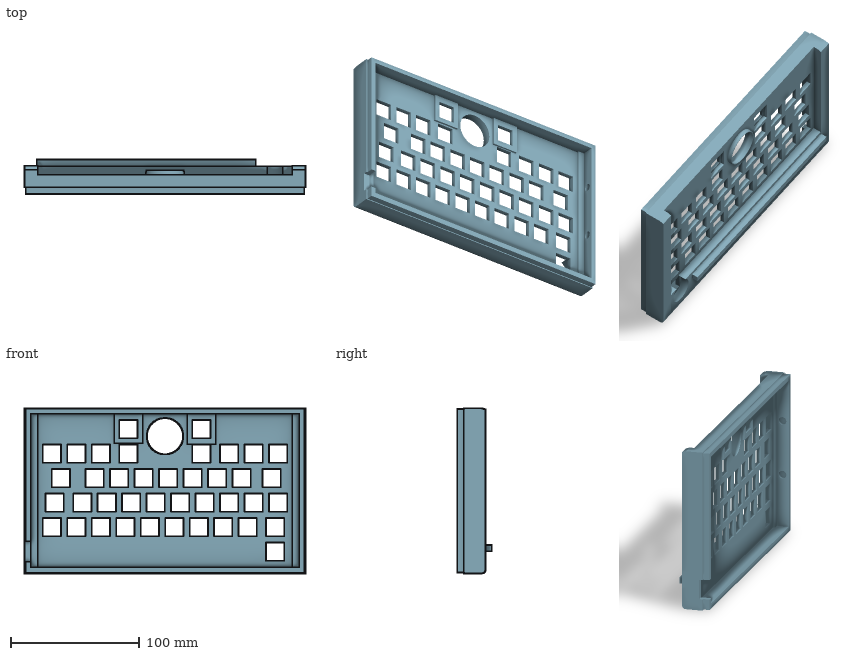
import cadquery as cq
import math

WIDTH = 219.2
HEIGHT = 129.0
DEPTH = 27.0
BODY_BACK = 22.1

LIP_DEPTH = 5.3
LIP_SIDE_INSET = 1.0
LIP_EDGE_INSET = 0.7

BOTTOM_FILLET = 3.0
TOP_BEVEL_DROP = 1.0
TOP_BEVEL_RUN = 3.3

SIDE_WALL = 5.0
WALL_TOP = 4.4
WALL_BOTTOM = 4.8
PLATE_FRONT = 11.5
PLATE_BACK = 15.1
STRIP_FRONT = 9.6
PLATE_LEFT = 10.3
PLATE_RIGHT = WIDTH - PLATE_LEFT

LEDGE_TOP = 25.2
LEDGE_BACK = 21.7

BAR_LEFT = 9.6
BAR_RIGHT = 180.5
BAR_BOTTOM = 17.3
BAR_TOP = 22.4

KEY = 14.0
PITCH = 19.0
BOTTOM_ROW_Z = 17.0
LEFT_KEY_X = 21.5
LEFT_TOP_KEY_X = 81.1
RIGHT_TOP_KEY_X = 137.9
ARROW_KEY_X = 195.3
KEY_ROWS = [
    [(ARROW_KEY_X, 1)],
    [(LEFT_KEY_X, 9), (ARROW_KEY_X, 1)],
    [(23.7, 1), (45.2, 9)],
    [(28.5, 1), (54.8, 7), (192.7, 1)],
    [(LEFT_KEY_X, 3), (LEFT_TOP_KEY_X, 1), (RIGHT_TOP_KEY_X, 1), (159.5, 3)],
    [(LEFT_TOP_KEY_X, 1), (RIGHT_TOP_KEY_X, 1)],
]
KEY_CLEARANCE_DIAMETER = 20.2

PAD_WIDTH = 22.1
PAD_POCKET = 17.3
PAD_POCKET_DEPTH = 3.0
LEFT_PAD_BOTTOM = 101.5
RIGHT_PAD_BOTTOM = 100.8

BALL_HOLE_DIAMETER = 28.0
BALL_COLLAR_DIAMETER = 30.0
BALL_COLLAR_BACK = 18.6
BALL_X = WIDTH / 2
BALL_Z = 107.0

NOTCH_DEPTH = 8.1
NOTCH_BOTTOM = 9.2
NOTCH_TOP = 25.0

SIDE_HOLE_DIAMETER = 6.1
SIDE_HOLE_DEPTH = 2.2
SIDE_HOLE_Y = 5.3
SIDE_HOLE_HEIGHTS = (47.0, 90.8)


def box(x0, x1, y0, y1, z0, z1):
    return cq.Workplane("XY").box(x1 - x0, y1 - y0, z1 - z0, centered=False).translate((x0, y0, z0))


def rod_along_y(x, z, diameter, y0, y1):
    return cq.Workplane("XZ", origin=(x, y0, z)).circle(diameter / 2).extrude(y0 - y1)


def make_shell():
    """Outer body with its front lip and shaped back edges."""
    body = (
        cq.Workplane("YZ")
        .moveTo(LIP_DEPTH, 0)
        .lineTo(BODY_BACK - BOTTOM_FILLET, 0)
        .radiusArc((BODY_BACK, BOTTOM_FILLET), -BOTTOM_FILLET)
        .lineTo(BODY_BACK, HEIGHT - TOP_BEVEL_DROP)
        .lineTo(BODY_BACK - TOP_BEVEL_RUN, HEIGHT)
        .lineTo(LIP_DEPTH, HEIGHT)
        .close()
        .extrude(WIDTH)
    )
    lip = box(
        LIP_SIDE_INSET, WIDTH - LIP_SIDE_INSET,
        0, LIP_DEPTH,
        LIP_EDGE_INSET, HEIGHT - LIP_EDGE_INSET,
    )
    return body.union(lip)


def cut_cavities(shell):
    """Open the front down to the plate and the back above the ledge."""
    cavity_z = (WALL_BOTTOM, HEIGHT - WALL_TOP)
    front = box(SIDE_WALL, WIDTH - SIDE_WALL, 0, STRIP_FRONT, *cavity_z)
    plate_recess = box(PLATE_LEFT, PLATE_RIGHT, 0, PLATE_FRONT, *cavity_z)
    rear = box(PLATE_LEFT, PLATE_RIGHT, PLATE_BACK, BODY_BACK, LEDGE_TOP, HEIGHT)
    ledge_trim = box(PLATE_LEFT, PLATE_RIGHT, LEDGE_BACK, BODY_BACK, 0, HEIGHT)
    return shell.cut(front).cut(plate_recess).cut(rear).cut(ledge_trim)


def make_pad(x, bottom):
    return box(
        x - PAD_WIDTH / 2, x + PAD_WIDTH / 2,
        STRIP_FRONT, PLATE_FRONT,
        bottom, HEIGHT - WALL_TOP,
    )


def make_pad_pocket(x):
    z = BOTTOM_ROW_Z + (len(KEY_ROWS) - 1) * PITCH
    half = PAD_POCKET / 2
    return box(x - half, x + half, PLATE_BACK - PAD_POCKET_DEPTH, PLATE_BACK, z - half, z + half)


def make_ball_collar():
    """Spherical collar on the back of the plate around the trackball opening."""
    sphere_radius = BALL_COLLAR_DIAMETER / 2
    height = BALL_COLLAR_BACK - PLATE_BACK
    back_radius = math.sqrt(sphere_radius**2 - height**2)
    return (
        cq.Workplane("XY")
        .lineTo(sphere_radius, 0)
        .radiusArc((back_radius, height), -sphere_radius)
        .lineTo(0, height)
        .close()
        .revolve(360, (0, 0), (0, 1))
        .translate((BALL_X, PLATE_BACK, BALL_Z))
    )


def make_key_windows():
    windows = cq.Workplane("XY")
    for row, groups in enumerate(KEY_ROWS):
        z = BOTTOM_ROW_Z + row * PITCH
        for first_x, count in groups:
            for column in range(count):
                x = first_x + column * PITCH
                windows = windows.add(
                    box(x - KEY / 2, x + KEY / 2, 0, PLATE_BACK, z - KEY / 2, z + KEY / 2)
                )
    return windows


def make_side_hole(z):
    inner_face = WIDTH - SIDE_WALL
    return (
        cq.Workplane("YZ", origin=(inner_face, SIDE_HOLE_Y, z))
        .circle(SIDE_HOLE_DIAMETER / 2)
        .extrude(SIDE_HOLE_DEPTH)
    )


result = cut_cavities(make_shell())
result = result.union(box(BAR_LEFT, BAR_RIGHT, LEDGE_BACK, DEPTH, BAR_BOTTOM, BAR_TOP))
result = result.union(make_pad(LEFT_TOP_KEY_X, LEFT_PAD_BOTTOM))
result = result.union(make_pad(RIGHT_TOP_KEY_X, RIGHT_PAD_BOTTOM))

for pad_x in (LEFT_TOP_KEY_X, RIGHT_TOP_KEY_X):
    result = result.cut(make_pad_pocket(pad_x))
for window in make_key_windows().vals():
    result = result.cut(cq.Workplane(window))
result = result.cut(rod_along_y(ARROW_KEY_X, BOTTOM_ROW_Z, KEY_CLEARANCE_DIAMETER, PLATE_BACK, DEPTH))

result = result.union(make_ball_collar())
result = result.cut(rod_along_y(BALL_X, BALL_Z, BALL_HOLE_DIAMETER, 0, DEPTH))

result = result.cut(box(0, SIDE_WALL, 0, NOTCH_DEPTH, NOTCH_BOTTOM, NOTCH_TOP))
for hole_z in SIDE_HOLE_HEIGHTS:
    result = result.cut(make_side_hole(hole_z))